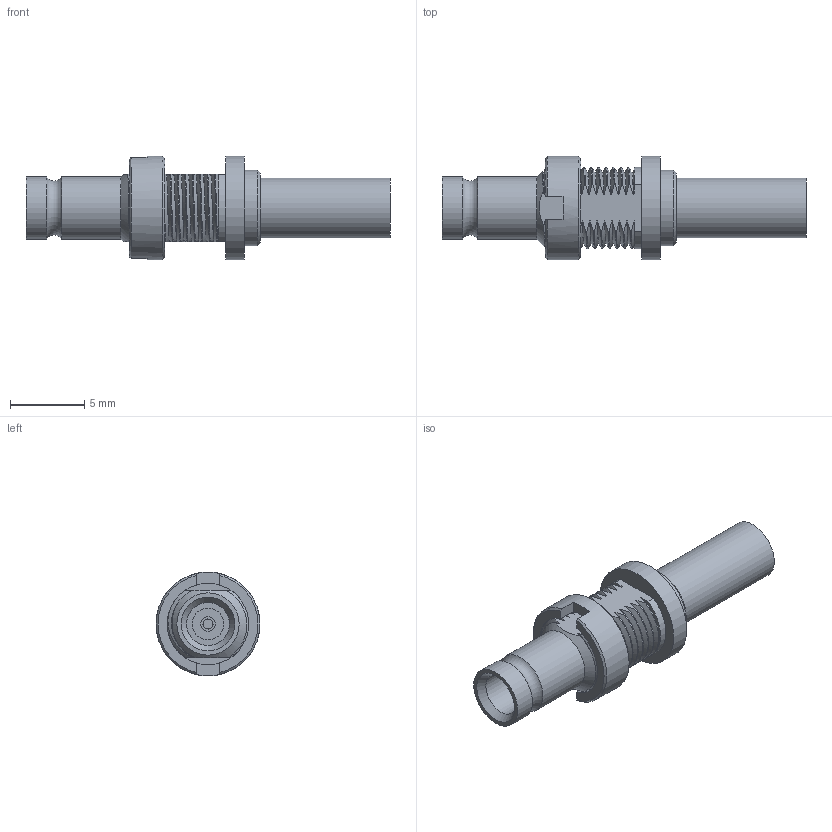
import cadquery as cq

total_length = 24.54
groove_start = 1.4
groove_end = 2.4
shoulder_start = 6.4
thread_end = 12.95
flange_start = 13.47
flange_thickness = 1.25
boss_length = 1.08
boss_chamfer = 0.2

barrel_radius = 2.1
groove_floor_radius = 1.82
flange_radius = 3.5
boss_radius = 2.55
tail_radius = 2.02
across_flats = 4.52

thread_radius = 2.75
thread_pitch = 0.5
thread_depth = 0.65 * thread_pitch
crest_width = 0.06
root_width = 0.04
helix_start = 5.685
groove_clearance = 0.03

mouth_radius = 1.81
mouth_depth = 0.5
bore_radius = 1.44
bore_depth = 5.0
inner_bore_radius = 1.07
inner_bore_depth = 6.0

contact_radius = 0.48
contact_tip = bore_depth
contact_end = 8.0
socket_radius = 0.34
socket_depth = 1.0

nut_start = 6.96
nut_length = 2.39
nut_radius = flange_radius
nut_chamfer = 0.13
slot_width = 1.56
slot_depth = 1.2

flange_end = flange_start + flange_thickness
boss_end = flange_end + boss_length
shoulder_length = flange_radius - barrel_radius


def revolve_about_x(outline):
    """Turn a closed XY outline (X along the axis, Y as radius) around the X axis."""
    return outline.revolve(360, (0, 0, 0), (1, 0, 0))


def cylinder_along_x(start, end, radius):
    return cq.Workplane("YZ", origin=(start, 0, 0)).circle(radius).extrude(end - start)


def make_barrel():
    """Plain mating end, with its rounded snap groove."""
    groove_middle = (groove_start + groove_end) / 2
    outline = (
        cq.Workplane("XY")
        .lineTo(0, barrel_radius)
        .lineTo(groove_start, barrel_radius)
        .threePointArc((groove_middle, groove_floor_radius), (groove_end, barrel_radius))
        .lineTo(shoulder_start, barrel_radius)
        .lineTo(shoulder_start, 0)
        .close()
    )
    return revolve_about_x(outline)


def make_rear():
    """Plain neck behind the thread, flange, chamfered boss and cable tail."""
    outline = (
        cq.Workplane("XY")
        .moveTo(thread_end, 0)
        .lineTo(thread_end, thread_radius)
        .lineTo(flange_start, thread_radius)
        .lineTo(flange_start, flange_radius)
        .lineTo(flange_end, flange_radius)
        .lineTo(flange_end, boss_radius)
        .lineTo(boss_end - boss_chamfer, boss_radius)
        .lineTo(boss_end, boss_radius - boss_chamfer)
        .lineTo(boss_end, tail_radius)
        .lineTo(total_length, tail_radius)
        .lineTo(total_length, 0)
        .close()
    )
    return revolve_about_x(outline)


def make_threaded_rod():
    """Right-handed threaded rod, longer than the thread so that both helix ends get trimmed off."""
    half_root = root_width / 2
    half_mouth = (thread_pitch - crest_width) / 2
    flank_slope = (half_mouth - half_root) / thread_depth
    half_outer = half_mouth + groove_clearance * flank_slope
    root_radius = thread_radius - thread_depth
    outer_radius = thread_radius + groove_clearance
    helix_length = thread_end + thread_pitch - helix_start
    path = cq.Workplane(cq.Wire.makeHelix(thread_pitch, helix_length, root_radius))
    groove = (
        cq.Workplane("XZ")
        .moveTo(root_radius, -half_root)
        .lineTo(root_radius, half_root)
        .lineTo(outer_radius, half_outer)
        .lineTo(outer_radius, -half_outer)
        .close()
        .sweep(path, isFrenet=True)
        .rotate((0, 0, 0), (0, 1, 0), 90)
        .translate((helix_start, 0, 0))
    )
    rod_start = helix_start - 2 * thread_pitch
    rod_end = thread_end + 3 * thread_pitch
    return cylinder_along_x(rod_start, rod_end, thread_radius).cut(groove, clean=False)


def make_threaded_sleeve():
    """Threaded stretch with a 45 degree cone on its front end and a square rear end."""
    limits = (
        cq.Workplane("XY")
        .moveTo(shoulder_start, 0)
        .lineTo(shoulder_start, barrel_radius)
        .lineTo(shoulder_start + shoulder_length, barrel_radius + shoulder_length)
        .lineTo(thread_end, barrel_radius + shoulder_length)
        .lineTo(thread_end, 0)
        .close()
    )
    return make_threaded_rod().intersect(revolve_about_x(limits), clean=False)


def make_flat_cutters():
    """Two blocks that leave flats above and below the threaded stretch."""
    length = flange_start - shoulder_start
    width = 2 * flange_radius
    block = cq.Workplane("XY").box(length, width, width, centered=(False, True, False))
    upper = block.translate((shoulder_start, 0, across_flats / 2))
    return upper.union(upper.mirror("XY"))


def make_mating_bore():
    outline = (
        cq.Workplane("XY")
        .lineTo(0, mouth_radius)
        .lineTo(mouth_depth, bore_radius)
        .lineTo(bore_depth, bore_radius)
        .lineTo(bore_depth, inner_bore_radius)
        .lineTo(inner_bore_depth, inner_bore_radius)
        .lineTo(inner_bore_depth, 0)
        .close()
    )
    return revolve_about_x(outline)


def make_housing():
    contact_seat = cylinder_along_x(inner_bore_depth, contact_end, contact_radius)
    flat_cutters = make_flat_cutters()
    return (
        make_threaded_sleeve()
        .cut(flat_cutters)
        .union(make_rear().cut(flat_cutters))
        .union(make_barrel())
        .cut(make_mating_bore())
        .cut(contact_seat)
    )


def make_nut():
    ring = (
        cylinder_along_x(nut_start, nut_start + nut_length, nut_radius)
        .edges()
        .chamfer(nut_chamfer)
    )
    bore = cylinder_along_x(nut_start, nut_start + nut_length, thread_radius)
    slot = (
        cq.Workplane("XY")
        .box(slot_depth, slot_width, 2 * nut_radius, centered=(False, True, True))
        .translate((nut_start, 0, 0))
    )
    return ring.cut(bore).cut(slot)


def make_contact():
    pin = cylinder_along_x(contact_tip, contact_end, contact_radius)
    socket = cylinder_along_x(contact_tip, contact_tip + socket_depth, socket_radius)
    return pin.cut(socket)


housing = make_housing()
nut = make_nut()
contact = make_contact()

result = cq.Compound.makeCompound([housing.val(), nut.val(), contact.val()])